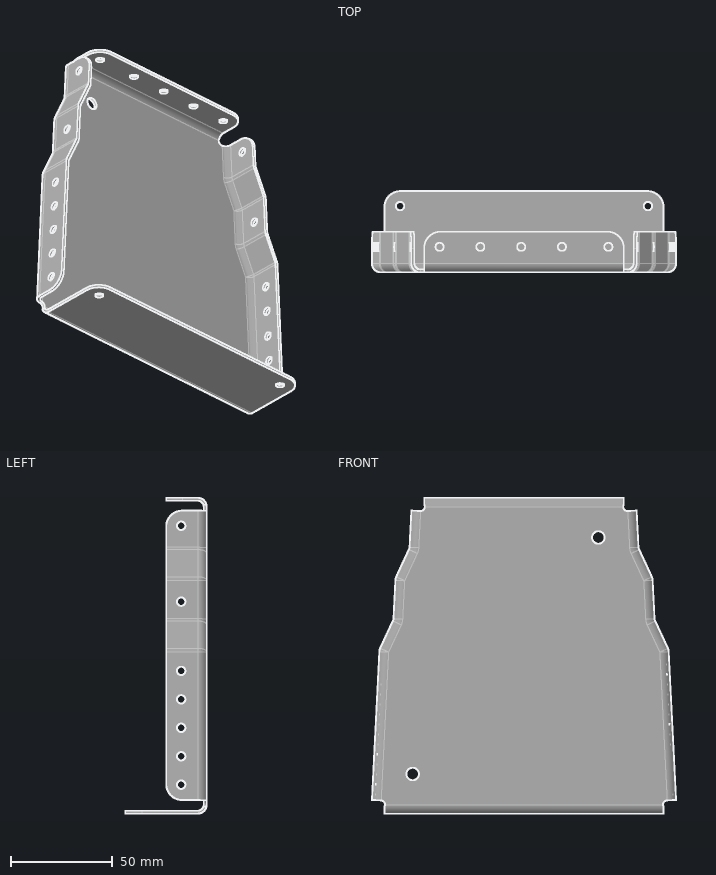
import cadquery as cq
import math

sheet = 1.5
bend_radius = 4.5
inner_bend_radius = bend_radius - sheet
kink_radius = 4.6
inner_kink_radius = kink_radius - sheet

height = 155.0
width = 149.3
flange_depth = 20.0
bottom_flange_depth = 40.0
top_flange_width = 98.0
bottom_flange_width = 137.0
corner_radius = 8.0
relief_radius = 2.0

side_slope = 0.05
step_count = 2
total_inset = 12.2
step_inset = total_inset / step_count
step_height = 14.7
step_pitch = 35.0
first_step_z = 3.0

plate_hole = 6.0
flange_hole = 4.0
plate_hole_spots = [(36.5, 58.0), (-54.5, -58.0)]
flange_hole_y = 12.5
hole_pitch = 20.0
top_end_hole_x = 41.4
top_hole_xs = [i * hole_pitch - top_end_hole_x for i in range(4)] + [top_end_hole_x]
bottom_hole_x = 60.8
bottom_hole_margin = 7.5
bottom_hole_y = bottom_flange_depth - bottom_hole_margin
side_hole_pitch = 14.0
lowest_side_hole_z = -63.2
lower_side_hole_zs = [lowest_side_hole_z + i * side_hole_pitch for i in range(5)]
stepped_side_hole_zs = [26.5, 63.7]
side_hole_zs = lower_side_hole_zs + stepped_side_hole_zs

top = height / 2
bend_z = top - bend_radius
wall_end_z = bend_z - relief_radius
far = height
tilt = math.atan(side_slope)


def wall_x(z, steps):
    """Half width of the wall line at height z after a number of inward steps."""
    return width / 2 - side_slope * (z + wall_end_z) - step_inset * steps


def side_points():
    """Corners of the right-hand side wall, from bottom to top."""
    points = [(wall_x(-top, 0), -top)]
    for step in range(step_count):
        low = first_step_z + step * step_pitch
        high = low + step_height
        points += [(wall_x(low, step), low), (wall_x(high, step + 1), high)]
    return points + [(wall_x(top, step_count), top)]


def fillet_kinks(body, corners, radius):
    """Round the edges along Y at the given outline corners, on both sides of the part."""
    for _, z in corners:
        band = cq.selectors.BoxSelector((-far, -far, z - sheet), (far, far, z + sheet))
        body = body.edges("|Y").edges(band).fillet(radius)
    return body


def outer_block():
    """Solid block with the outside shape of a four-walled tray, front edges still sharp."""
    right = side_points()
    left = [(-x, z) for x, z in reversed(right)]
    block = cq.Workplane("XZ").polyline(right + left).close().extrude(-bottom_flange_depth)
    convex = right[1:-1:2]
    concave = right[2:-1:2]
    block = fillet_kinks(block, convex, kink_radius)
    return fillet_kinks(block, concave, inner_kink_radius)


def tray():
    """Hollow sheet tray: plate in front, walls on all four sides, rounded bends."""
    block = outer_block()
    cavity = (
        block.faces("<Y").wires().toPending().offset2D(-sheet)
        .extrude(-bottom_flange_depth, combine=False)
        .translate((0, sheet, 0))
    )
    cavity = cavity.faces("<Y").edges().fillet(inner_bend_radius)
    return block.faces("<Y").edges().fillet(bend_radius).cut(cavity)


def corner_notch(end, steps, flange_width):
    """Cutter freeing the right-hand wall from the top (end=1) or bottom (end=-1) flange."""
    corner_z = end * bend_z
    corner_x = wall_x(corner_z, steps) - bend_radius / math.cos(tilt)
    flange_end = flange_width / 2
    wall_end = end * wall_end_z
    outline = [
        (flange_end, end * far),
        (flange_end, corner_z),
        (corner_x, corner_z),
        (corner_x, wall_end),
        (corner_x + far, wall_end + side_slope * far),
        (corner_x + far, end * far),
    ]
    notch = cq.Workplane("XZ").polyline(outline).close().extrude(-far)
    relief = cq.Workplane("XZ").center(corner_x, corner_z).circle(relief_radius).extrude(-far)
    return notch.union(relief)


def trim_flanges(body):
    """Shorten the side walls and the top flange, leaving the bottom flange at full depth."""
    trim = cq.Workplane("XY").box(2 * far, far, far, centered=(True, False, False))
    return body.cut(trim.translate((0, flange_depth, -bend_z)))


def round_corners(body):
    """Round the free corners of all four flanges."""
    for low, high in ((top - sheet, top), (-top, sheet - top)):
        flange = cq.selectors.BoxSelector((-far, flange_depth - sheet / 2, low), (far, far, high))
        body = body.edges("|Z").edges(flange).fillet(corner_radius)
    for end in (1, -1):
        wall_end = end * wall_end_z
        rim = cq.selectors.BoxSelector(
            (-far, flange_depth - sheet / 2, wall_end - sheet),
            (far, flange_depth + sheet / 2, wall_end + sheet),
        )
        body = body.edges(rim).fillet(corner_radius)
    return body


def plate_drills():
    """Drills along Y through the plate."""
    return cq.Workplane("XZ").pushPoints(plate_hole_spots).circle(plate_hole / 2).extrude(-bend_radius)


def flange_drills(points, z):
    """Vertical drills centred on the given height, passing through one flange."""
    drills = cq.Workplane("XY").workplane(offset=z).pushPoints(points)
    return drills.circle(flange_hole / 2).extrude(bend_radius, both=True)


def side_drills():
    """Drills along X, each passing through both side walls."""
    points = [(flange_hole_y, z) for z in side_hole_zs]
    return cq.Workplane("YZ").pushPoints(points).circle(flange_hole / 2).extrude(far, both=True)


result = trim_flanges(tray())
for end, steps, flange_width in ((1, step_count, top_flange_width), (-1, 0, bottom_flange_width)):
    notch = corner_notch(end, steps, flange_width)
    result = result.cut(notch).cut(notch.mirror("YZ"))
result = round_corners(result)

top_spots = [(x, flange_hole_y) for x in top_hole_xs]
bottom_spots = [(x, bottom_hole_y) for x in (-bottom_hole_x, bottom_hole_x)]
result = (
    result.cut(plate_drills())
    .cut(flange_drills(top_spots, top))
    .cut(flange_drills(bottom_spots, -top))
    .cut(side_drills())
)